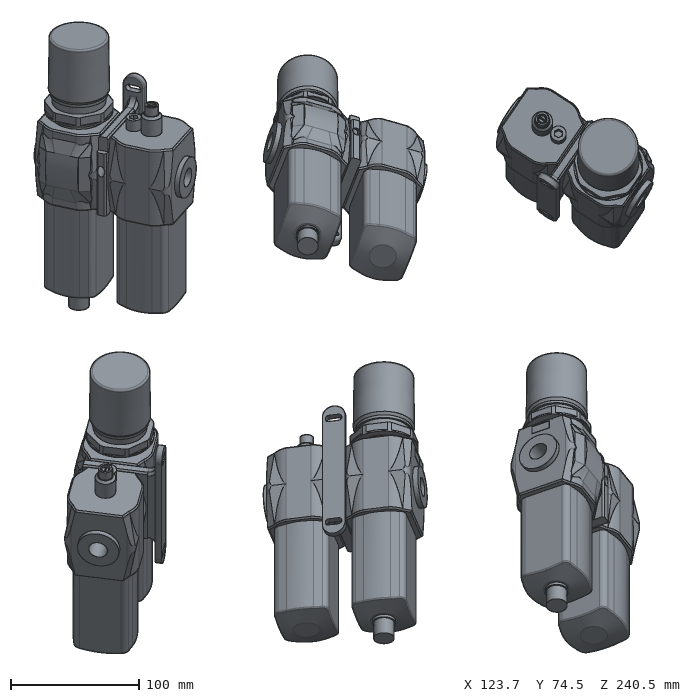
import cadquery as cq
import math

OVERALL_LENGTH = 123.7
OVERALL_HEIGHT = 240.5
WEB_WIDTH = 8.2
BODY_WIDTH = 53.7
BODY_DEPTH = 56.8
BODY_HEIGHT = 67.8
UNIT_OFFSET = (WEB_WIDTH + BODY_WIDTH) / 2

BODY_EDGE = 1.2
FLAT_HALF = 10.0
TOP_SHOULDER = (20.5, 23.0)
TOP_SIDE_Y = 19.0
SHOULDER_BOW = 0.7
WAIST_SHOULDER = (23.8, 28.5)
WAIST_SIDE_Y = 25.5
WAIST_ROUND = 6.3

PORT_DIAMETER = 33.0
PORT_BORE = 15.0
PORT_BORE_DEPTH = 28.9

BOWL_WIDTH = 43.5
BOWL_DEPTH = 50.0
BOWL_ARC_HALF_WIDTH = 10.8
BOWL_ARC_END_Y = 23.5
BOWL_CORNER_ROUND = 5.5
BOWL_BOTTOM_Z = -118.5
BOWL_FLOOR_RADIUS = 10.5
BOWL_CONE_SLOPE = 0.3
BOWL_EDGE = 1.2

DRAIN_COLLAR_DIAMETER = 18.0
DRAIN_COLLAR_HEIGHT = 2.5
DRAIN_DIAMETER = 16.0
DRAIN_LENGTH = 16.4

KNOB_TOP_DIAMETER = 46.7
KNOB_DIAMETER = 47.9
KNOB_ROUND = 1.7
KNOB_BOTTOM_Z = 59.0
SKIRT_DIAMETER = 45.0
SKIRT_TOP_Z = 56.5
SKIRT_BOTTOM_Z = 54.1
NECK_DIAMETER = 42.0

PAD_HALF_WIDTH = 22.0
PAD_HALF_HEIGHT = 26.7
PAD_FACE_HALF_WIDTH = 13.7
PAD_FACE_BOTTOM_Z = -14.0
PAD_FACE_TOP_Z = 16.0
PAD_CREST_HALF_WIDTH = 6.7
PAD_ROOT_Y = -19.2
PAD_SIDE_Y = -27.7
PAD_RIM_Y = -32.2
PAD_FRONT_Y = -34.0

LABEL_WIDTH = 15.2
LABEL_HEIGHT = 7.2
LABEL_Z = 28.0
LABEL_DEPTH = 0.2

NUT_FLATS = 50.5
NUT_FLANGE_DIAMETER = 53.5
NUT_BOTTOM_Z = 39.0
NUT_FLANGE_HEIGHT = 1.5
NUT_TOP_Z = 47.5
NUT_SIDES = 8

PLUG_OFFSET = -15.2
PLUG_DIAMETER = 12.0
PLUG_HEIGHT = 9.6
PLUG_HEX_FLATS = 6.0
PLUG_HEX_DEPTH = 4.8
DOME_DIAMETER = 16.0
DOME_HEIGHT = 14.5
DOME_CONE_DIAMETER = 12.0
DOME_CONE_HEIGHT = 2.0
DOME_TIP_DIAMETER = 10.5
DOME_TIP_HEIGHT = 7.7
DOME_BORE = 7.5
DOME_BORE_DEPTH = 2.5
SCREW_DIAMETER = 5.5
SCREW_HEIGHT = 1.5
SCREW_SLOT_WIDTH = 1.0

PLATE_WIDTH = 18.0
PLATE_LENGTH = 117.0
PLATE_BACK_Y = 40.5
PLATE_THICKNESS = 5.5
PLATE_EDGE = 1.0
SLOT_LENGTH = 13.0
SLOT_WIDTH = 5.5
SLOT_Z = 47.6
ARM_WIDTH = 9.6
ARM_FLARE_HEIGHT = 8.0
ARM_EDGE = 2.2
WEB_EDGE = 1.5
WEB_FRONT_Y = -27.5
NOTCH_Y = -23.0
NOTCH_Z = 21.7
SCREW_HOLE_DIAMETER = 6.0
SCREW_HOLE_Z = 5.3
SCREW_HOLE_TILT = 50.0
SCREW_HOLE_DEPTH = 9.6

HALF_WIDTH = BODY_WIDTH / 2
HALF_DEPTH = BODY_DEPTH / 2
BODY_TOP_Z = BODY_HEIGHT / 2
TOP_Z = OVERALL_HEIGHT + BOWL_BOTTOM_Z - DRAIN_LENGTH


def cylinder(diameter, bottom_z, top_z):
    return cq.Workplane("XY").workplane(offset=bottom_z).circle(diameter / 2).extrude(top_z - bottom_z)


def eight_corners(shoulder, side_y):
    """Points of a section with its four corners cut off."""
    x, y = shoulder
    quarter = [(HALF_WIDTH, side_y), (x, y)]
    right_half = [(px, -py) for px, py in reversed(quarter)] + quarter
    left_half = [(-px, -py) for px, py in right_half]
    return right_half + left_half


def body_shell():
    """Flat-fronted block with arched shoulders, swelling towards mid height at its corners."""
    x, y = TOP_SHOULDER
    arc_x = (FLAT_HALF + x) / 2
    arc_y = y + SHOULDER_BOW * (HALF_DEPTH - y)
    core = cq.Workplane("XY").workplane(offset=-BODY_TOP_Z).moveTo(FLAT_HALF, HALF_DEPTH)
    core = core.lineTo(-FLAT_HALF, HALF_DEPTH).threePointArc((-arc_x, arc_y), (-x, y))
    core = core.lineTo(-HALF_WIDTH, TOP_SIDE_Y).lineTo(-HALF_WIDTH, -TOP_SIDE_Y).lineTo(-x, -y)
    core = core.threePointArc((-arc_x, -arc_y), (-FLAT_HALF, -HALF_DEPTH)).lineTo(FLAT_HALF, -HALF_DEPTH)
    core = core.threePointArc((arc_x, -arc_y), (x, -y)).lineTo(HALF_WIDTH, -TOP_SIDE_Y)
    core = core.lineTo(HALF_WIDTH, TOP_SIDE_Y).lineTo(x, y)
    core = core.threePointArc((arc_x, arc_y), (FLAT_HALF, HALF_DEPTH))
    core = core.close().extrude(BODY_HEIGHT).faces("|Z").chamfer(BODY_EDGE)

    swell_height = BODY_TOP_Z - BODY_EDGE
    upper_swell = (
        cq.Workplane("XY")
        .polyline(eight_corners(WAIST_SHOULDER, WAIST_SIDE_Y)).close()
        .workplane(offset=swell_height)
        .polyline(eight_corners(TOP_SHOULDER, TOP_SIDE_Y)).close()
        .loft(ruled=True)
    )
    swell = upper_swell.union(upper_swell.mirror("XY"))
    limit = cq.Workplane("XY").box(BODY_WIDTH, BODY_DEPTH, BODY_HEIGHT).edges("|Z").fillet(WAIST_ROUND)
    return core.union(swell.intersect(limit))


def bowl():
    """Bowed prism whose underside falls as a shallow cone to a flat round floor."""
    half_width = BOWL_WIDTH / 2
    crown_y = BOWL_DEPTH / 2
    arc_slope = math.tan(2 * math.atan((crown_y - BOWL_ARC_END_Y) / BOWL_ARC_HALF_WIDTH))
    corner_y = BOWL_ARC_END_Y - arc_slope * (half_width - BOWL_ARC_HALF_WIDTH)
    prism = (
        cq.Workplane("XY").workplane(offset=BOWL_BOTTOM_Z)
        .moveTo(half_width, -corner_y)
        .lineTo(half_width, corner_y)
        .lineTo(BOWL_ARC_HALF_WIDTH, BOWL_ARC_END_Y)
        .threePointArc((0, crown_y), (-BOWL_ARC_HALF_WIDTH, BOWL_ARC_END_Y))
        .lineTo(-half_width, corner_y)
        .lineTo(-half_width, -corner_y)
        .lineTo(-BOWL_ARC_HALF_WIDTH, -BOWL_ARC_END_Y)
        .threePointArc((0, -crown_y), (BOWL_ARC_HALF_WIDTH, -BOWL_ARC_END_Y))
        .close()
        .extrude(-BODY_TOP_Z - BOWL_BOTTOM_Z)
        .edges("(<X or >X) and |Z").fillet(BOWL_CORNER_ROUND)
    )
    rim_radius = BOWL_DEPTH
    rim_z = BOWL_BOTTOM_Z + (rim_radius - BOWL_FLOOR_RADIUS) * BOWL_CONE_SLOPE
    cone = (
        cq.Workplane("XZ")
        .polyline([
            (0, BOWL_BOTTOM_Z),
            (BOWL_FLOOR_RADIUS, BOWL_BOTTOM_Z),
            (rim_radius, rim_z),
            (rim_radius, -BODY_TOP_Z),
            (0, -BODY_TOP_Z),
        ])
        .close()
        .revolve(360, (0, 0, 0), (0, 1, 0))
    )
    return prism.intersect(cone).faces("%CONE").edges("not <Z").fillet(BOWL_EDGE)


def unit_shell(side):
    """Body, port and bowl of one unit; side is the X direction in which its port points."""
    center_x = side * UNIT_OFFSET
    shell = body_shell().union(bowl()).translate((center_x, 0, 0))
    port_plane = cq.Plane(origin=(side * OVERALL_LENGTH / 2, 0, 0), xDir=(0, 1, 0), normal=(-side, 0, 0))
    shell = shell.union(cq.Workplane(port_plane).circle(PORT_DIAMETER / 2).extrude(HALF_WIDTH))
    return shell.cut(cq.Workplane(port_plane).circle(PORT_BORE / 2).extrude(PORT_BORE_DEPTH))


def knob_and_neck():
    half_section = [
        (0, BODY_TOP_Z),
        (NECK_DIAMETER / 2, BODY_TOP_Z),
        (NECK_DIAMETER / 2, SKIRT_BOTTOM_Z),
        (SKIRT_DIAMETER / 2, SKIRT_BOTTOM_Z),
        (SKIRT_DIAMETER / 2, SKIRT_TOP_Z),
        (KNOB_DIAMETER / 2, KNOB_BOTTOM_Z),
        (KNOB_TOP_DIAMETER / 2, TOP_Z),
        (0, TOP_Z),
    ]
    turned = cq.Workplane("XZ").polyline(half_section).close().revolve(360, (0, 0, 0), (0, 1, 0))
    return turned.faces(">Z").edges().fillet(KNOB_ROUND)


def drain():
    collar = cylinder(DRAIN_COLLAR_DIAMETER, BOWL_BOTTOM_Z - DRAIN_COLLAR_HEIGHT, BOWL_BOTTOM_Z)
    return collar.union(cylinder(DRAIN_DIAMETER, BOWL_BOTTOM_Z - DRAIN_LENGTH, BOWL_BOTTOM_Z))


def front_pad():
    """Raised front of the regulator: four sloping sides and a face bowed about the X axis."""
    end_chain = [
        (PAD_HALF_WIDTH, PAD_ROOT_Y),
        (PAD_HALF_WIDTH, -TOP_SHOULDER[1]),
        (TOP_SHOULDER[0], -TOP_SHOULDER[1] - BODY_EDGE),
        (FLAT_HALF, -HALF_DEPTH),
    ]
    face_chain = [
        (PAD_HALF_WIDTH, PAD_ROOT_Y),
        (PAD_HALF_WIDTH, PAD_SIDE_Y),
        (PAD_FACE_HALF_WIDTH, PAD_RIM_Y),
        (PAD_CREST_HALF_WIDTH, PAD_RIM_Y),
    ]
    stations = [
        (-PAD_HALF_HEIGHT, end_chain),
        (PAD_FACE_BOTTOM_Z, face_chain),
        (PAD_FACE_TOP_Z, face_chain),
        (PAD_HALF_HEIGHT, end_chain),
    ]
    wires = []
    for z, chain in stations:
        mirrored_chain = [(-x, y) for x, y in reversed(chain)]
        corners = [cq.Vector(x, y, z) for x, y in chain + mirrored_chain]
        wires.append(cq.Wire.makePolygon(corners, close=True))
    sloped = cq.Workplane(cq.Solid.makeLoft(wires, True))
    face_middle_z = (PAD_FACE_BOTTOM_Z + PAD_FACE_TOP_Z) / 2
    bowed_face = (
        cq.Workplane("YZ", origin=(-PAD_FACE_HALF_WIDTH, 0, 0))
        .moveTo(PAD_RIM_Y, PAD_FACE_BOTTOM_Z)
        .threePointArc((PAD_FRONT_Y, face_middle_z), (PAD_RIM_Y, PAD_FACE_TOP_Z))
        .close()
        .extrude(2 * PAD_FACE_HALF_WIDTH)
    )
    return sloped.union(bowed_face)


def make_regulator():
    center = (-UNIT_OFFSET, 0, 0)
    regulator = unit_shell(-1)
    for feature in (knob_and_neck(), drain(), front_pad()):
        regulator = regulator.union(feature.translate(center))
    label = cq.Workplane("XY").box(2 * LABEL_DEPTH, LABEL_WIDTH, LABEL_HEIGHT)
    return regulator.cut(label.translate((-UNIT_OFFSET - HALF_WIDTH, 0, LABEL_Z)))


def filler_plug():
    top_z = BODY_TOP_Z + PLUG_HEIGHT
    hex_corners = PLUG_HEX_FLATS / math.cos(math.pi / 6)
    plug = cylinder(PLUG_DIAMETER, BODY_TOP_Z, top_z)
    socket = cq.Workplane("XY").workplane(offset=top_z).polygon(6, hex_corners).extrude(-PLUG_HEX_DEPTH)
    return plug.cut(socket)


def oil_dome():
    """Stepped post with a slotted adjusting screw sunk in its tip."""
    shoulder_z = BODY_TOP_Z + DOME_HEIGHT
    tip_base_z = shoulder_z + DOME_CONE_HEIGHT
    tip_z = tip_base_z + DOME_TIP_HEIGHT
    half_section = [
        (0, BODY_TOP_Z),
        (DOME_DIAMETER / 2, BODY_TOP_Z),
        (DOME_DIAMETER / 2, shoulder_z),
        (DOME_CONE_DIAMETER / 2, tip_base_z),
        (DOME_TIP_DIAMETER / 2, tip_base_z),
        (DOME_TIP_DIAMETER / 2, tip_z),
        (0, tip_z),
    ]
    dome = cq.Workplane("XZ").polyline(half_section).close().revolve(360, (0, 0, 0), (0, 1, 0))
    floor_z = tip_z - DOME_BORE_DEPTH
    screw_top_z = floor_z + SCREW_HEIGHT
    slot = cq.Workplane("XY").box(SCREW_DIAMETER, SCREW_SLOT_WIDTH, SCREW_HEIGHT)
    screw = cylinder(SCREW_DIAMETER, floor_z, screw_top_z).cut(slot.translate((0, 0, screw_top_z)))
    return dome.cut(cylinder(DOME_BORE, floor_z, tip_z)).union(screw)


def make_lubricator():
    lubricator = unit_shell(1)
    lubricator = lubricator.union(filler_plug().translate((UNIT_OFFSET + PLUG_OFFSET, 0, 0)))
    return lubricator.union(oil_dome().translate((UNIT_OFFSET, 0, 0)))


def make_panel_nut():
    """Octagonal nut on a thin round flange, with corners turned to the flange diameter."""
    across_corners = NUT_FLATS / math.cos(math.pi / NUT_SIDES)
    octagon = (
        cq.Workplane("XY").workplane(offset=NUT_BOTTOM_Z)
        .transformed(rotate=(0, 0, 180 / NUT_SIDES))
        .polygon(NUT_SIDES, across_corners)
        .extrude(NUT_TOP_Z - NUT_BOTTOM_Z)
        .intersect(cylinder(NUT_FLANGE_DIAMETER, NUT_BOTTOM_Z, NUT_TOP_Z))
    )
    nut = octagon.union(cylinder(NUT_FLANGE_DIAMETER, NUT_BOTTOM_Z, NUT_BOTTOM_Z + NUT_FLANGE_HEIGHT))
    nut = nut.cut(cylinder(NECK_DIAMETER, NUT_BOTTOM_Z, NUT_TOP_Z))
    return nut.translate((-UNIT_OFFSET, 0, 0))


def bracket_plate():
    plate = (
        cq.Workplane("XZ", origin=(0, PLATE_BACK_Y, 0))
        .slot2D(PLATE_LENGTH, PLATE_WIDTH, 90)
        .extrude(PLATE_THICKNESS)
        .faces("<Y").edges().fillet(PLATE_EDGE)
    )
    slots = (
        cq.Workplane("XZ", origin=(0, PLATE_BACK_Y, 0))
        .pushPoints([(0, SLOT_Z), (0, -SLOT_Z)])
        .slot2D(SLOT_LENGTH, SLOT_WIDTH)
        .extrude(PLATE_THICKNESS)
    )
    return plate.cut(slots)


def bracket_arm():
    """Block behind the units that flares into the plate with concave arcs above and below."""
    plate_front_y = PLATE_BACK_Y - PLATE_THICKNESS
    plate_middle_y = PLATE_BACK_Y - PLATE_THICKNESS / 2
    flare_depth = plate_front_y - HALF_DEPTH
    flare_z = BODY_TOP_Z + ARM_FLARE_HEIGHT
    arc_middle = (
        HALF_DEPTH + flare_depth * math.sqrt(0.5),
        flare_z - ARM_FLARE_HEIGHT * math.sqrt(0.5),
    )
    arm = (
        cq.Workplane("YZ", origin=(-ARM_WIDTH / 2, 0, 0))
        .moveTo(HALF_DEPTH, -BODY_TOP_Z)
        .threePointArc((arc_middle[0], -arc_middle[1]), (plate_front_y, -flare_z))
        .lineTo(plate_middle_y, -flare_z)
        .lineTo(plate_middle_y, flare_z)
        .lineTo(plate_front_y, flare_z)
        .threePointArc(arc_middle, (HALF_DEPTH, BODY_TOP_Z))
        .close()
        .extrude(ARM_WIDTH)
    )
    return arm.edges("%CIRCLE").chamfer(ARM_EDGE)


def bracket_web():
    """Wall between the units, set back at its upper front and drilled for a slanting screw."""
    web = (
        cq.Workplane("YZ", origin=(-WEB_WIDTH / 2, 0, 0))
        .polyline([
            (HALF_DEPTH, -BODY_TOP_Z),
            (HALF_DEPTH, BODY_TOP_Z),
            (NOTCH_Y, BODY_TOP_Z),
            (NOTCH_Y, NOTCH_Z),
            (WEB_FRONT_Y, NOTCH_Z),
            (WEB_FRONT_Y, -BODY_TOP_Z),
        ])
        .close()
        .extrude(WEB_WIDTH)
    )
    web = web.faces("<Y or >Z").edges("not |X").chamfer(WEB_EDGE)
    tilt = math.radians(SCREW_HOLE_TILT)
    hole_plane = cq.Plane(
        origin=(0, WEB_FRONT_Y, SCREW_HOLE_Z),
        xDir=(1, 0, 0),
        normal=(0, math.cos(tilt), math.sin(tilt)),
    )
    hole = cq.Workplane(hole_plane).circle(SCREW_HOLE_DIAMETER / 2).extrude(SCREW_HOLE_DEPTH, both=True)
    return web.cut(hole)


def make_bracket():
    return bracket_plate().union(bracket_arm()).union(bracket_web())


regulator = make_regulator()
lubricator = make_lubricator()
panel_nut = make_panel_nut()
bracket = make_bracket()

bodies = (regulator, lubricator, panel_nut, bracket)
result = cq.Compound.makeCompound([body.solids().val() for body in bodies])